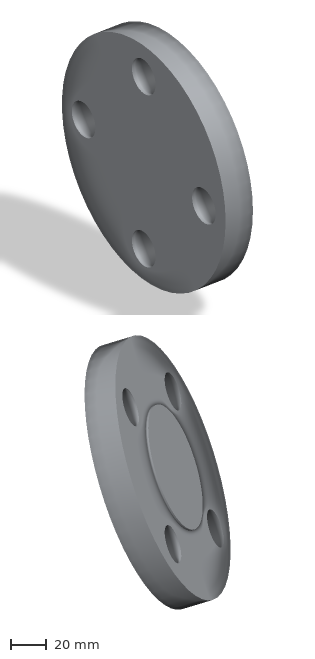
import cadquery as cq

flange_diameter = 155.4
total_thickness = 20.7
raised_face_height = 1.5
raised_face_diameter = 73.5
bolt_circle_diameter = 114.2
bolt_hole_diameter = 22.4
bolt_count = 4

plate_thickness = total_thickness - raised_face_height


def disc(diameter, thickness):
    """Solid disc starting at Y = 0 and growing toward +Y."""
    return cq.Workplane("XZ").circle(diameter / 2).extrude(-thickness)


def bolt_holes():
    """Through-hole cutters, the first one on the +X axis."""
    return (
        cq.Workplane("XZ")
        .polarArray(bolt_circle_diameter / 2, 0, 360, bolt_count)
        .circle(bolt_hole_diameter / 2)
        .extrude(-total_thickness)
    )


plate = disc(flange_diameter, plate_thickness)
raised_face = disc(raised_face_diameter, total_thickness)
result = plate.union(raised_face).cut(bolt_holes())